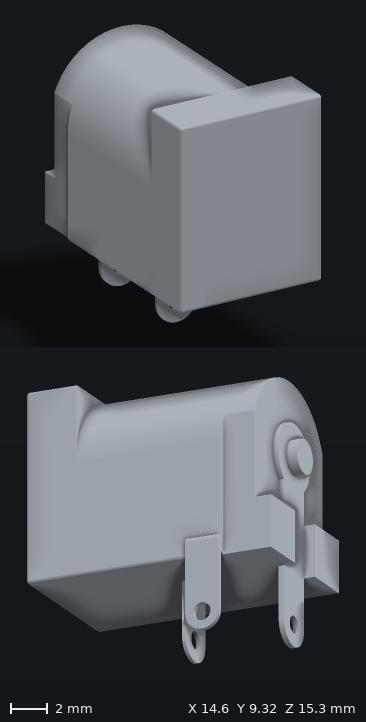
import cadquery as cq

total_length = 14.63
body_width = 9.0
body_height = 11.0
barrel_radius = body_width / 2
axis_z = body_height - barrel_radius

barrel_start = 0.98
shoulder_x = 2.85
flange_start = 11.61
edge_radius = 0.2

neck_width = 8.48
foot_height = 3.01
strip_width = 2.5
strip_thickness = 0.32
washer_diameter = 4.0
pin_diameter = 2.0

leg_drop = 4.3
leg_hole_diameter = 1.03
inner_leg_x = 6.6
inner_leg_thickness = 0.21
side_leg_start = 2.88
side_leg_width = 2.0
side_leg_top = 1.09
side_leg_thickness = 0.32
side_leg_bend_radius = 0.3
leg_embed = 0.15


def box(x_start, x_end, width, z_start, z_end):
    """Box centred on Y between the given X and Z limits."""
    return cq.Workplane("XY").box(
        x_end - x_start, width, z_end - z_start, centered=(False, True, False)
    ).translate((x_start, 0, z_start))


def axial_disc(diameter, x_start, x_end):
    """Cylinder along the barrel axis."""
    return (
        cq.Workplane("YZ", origin=(x_start, 0, axis_z))
        .circle(diameter / 2)
        .extrude(x_end - x_start)
    )


def leg(plane, origin, width, thickness, top_z):
    """Flat leg with a full-round lower end and a hole at the round's centre."""
    radius = width / 2
    hole_z = radius - leg_drop
    blade = (
        cq.Workplane(plane, origin=origin)
        .moveTo(-radius, top_z)
        .lineTo(-radius, hole_z)
        .threePointArc((0, -leg_drop), (radius, hole_z))
        .lineTo(radius, top_z)
        .close()
        .extrude(thickness)
    )
    hole = (
        cq.Workplane(plane, origin=origin)
        .center(0, hole_z)
        .circle(leg_hole_diameter / 2)
        .extrude(thickness)
    )
    return blade.cut(hole)


def make_housing():
    flange = box(flange_start, total_length, body_width, 0, body_height)
    flange = flange.edges("|X or >X").fillet(edge_radius)

    lower = box(shoulder_x, flange_start, body_width, 0, axis_z)
    lower = lower.edges("|X and <Z").fillet(edge_radius)

    neck = box(barrel_start, shoulder_x, neck_width, 0, axis_z)
    barrel = axial_disc(body_width, barrel_start, flange_start)
    neck_limit = box(barrel_start, shoulder_x, neck_width, 0, body_height)
    barrel_limit = box(shoulder_x, flange_start, body_width, 0, body_height)
    barrel = barrel.intersect(neck_limit.union(barrel_limit))

    feet = box(0, barrel_start, neck_width, 0, foot_height)
    feet = feet.cut(box(0, barrel_start, strip_width, 0, foot_height))
    return flange.union(lower).union(neck).union(barrel).union(feet)


def make_center_terminal():
    strip_x = barrel_start - strip_thickness
    strip = leg("YZ", (strip_x, 0, 0), strip_width, strip_thickness, axis_z)
    washer = axial_disc(washer_diameter, strip_x, barrel_start)
    pin = axial_disc(pin_diameter, 0, barrel_start)
    return strip.union(washer).union(pin)


def make_inner_leg():
    return leg("YZ", (inner_leg_x, 0, 0), strip_width, inner_leg_thickness, leg_embed)


def make_side_leg():
    """Leg on the +Y wall, with a rounded bend into the housing at its top."""
    outer_y = body_width / 2 + side_leg_thickness
    center_x = side_leg_start + side_leg_width / 2
    blade = leg("XZ", (center_x, outer_y, 0), side_leg_width, side_leg_thickness, side_leg_top)
    blade = blade.edges("|X and >Z and >Y").fillet(side_leg_bend_radius)
    root = box(side_leg_start, side_leg_start + side_leg_width, leg_embed,
               edge_radius, side_leg_top)
    return blade.union(root.translate((0, (body_width - leg_embed) / 2, 0)))


result = (
    make_housing()
    .union(make_center_terminal())
    .union(make_inner_leg())
    .union(make_side_leg())
)